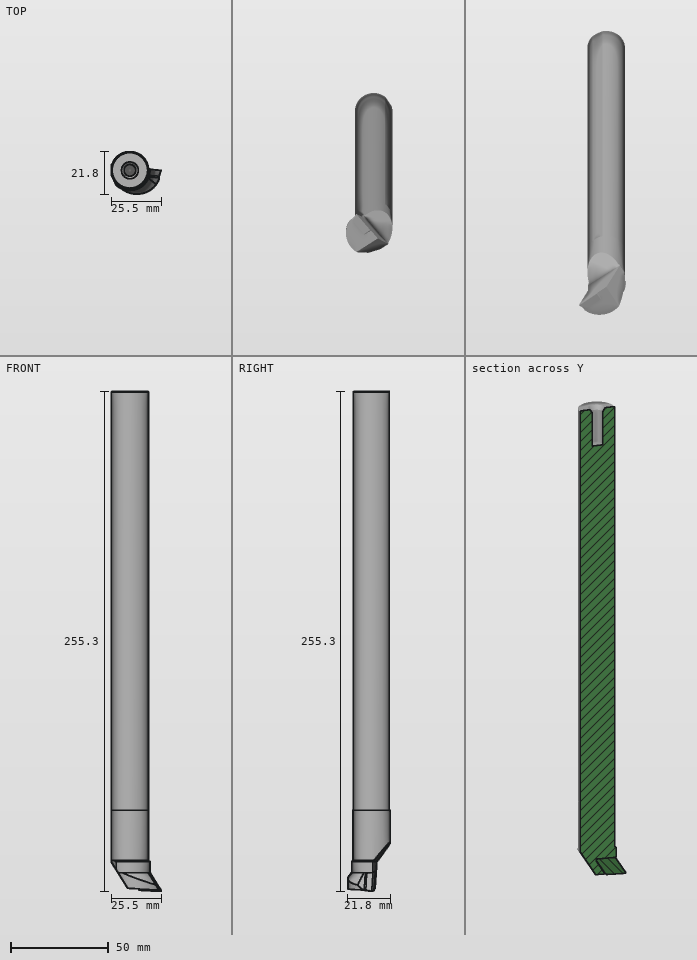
import cadquery as cq
import math


bar_length = 255.25
head_diameter = 19.13
head_length = 41.4
shank_diameter = 19.08
shank_flat_depth = 0.5
shank_top_chamfer = 0.5
head_radius = head_diameter / 2
shank_radius = shank_diameter / 2

inlet_diameter = 6.0
inlet_mouth_diameter = 8.6
inlet_mouth_half_angle = 30.0
inlet_depth = 20.0
inlet_mouth_flare = (inlet_mouth_diameter - inlet_diameter) / 2
inlet_mouth_depth = inlet_mouth_flare / math.tan(math.radians(inlet_mouth_half_angle))

neck_top = 15.9
neck_bottom = 9.65
neck_radius = 10.3
neck_chamfer = neck_radius - head_radius
neck_flat_directions = (180.0, 206.0)

cone_slope = 52.0
nose_x = 3.6
nose_radius = 12.2

rake_angle = 6.0
runout_bottom = 15.2
runout_angle = 52.0

insert_edge = 11.6
insert_thickness = 3.97
insert_corner_radius = 0.4
relief_angle = 7.0
insert_reach = 15.97
tip_angle = 55.0
end_edge_angle = 3.0
side_edge_angle = end_edge_angle + tip_angle

end_setback = 0.7
side_setback = 0.65
back_face_top = 15.1

reach = 60.0


def cylinder(radius, bottom, top, x=0.0):
    """Upright cylinder between two heights."""
    return cq.Workplane("XY", origin=(x, 0, bottom)).circle(radius).extrude(top - bottom)


def leaning(angle, length):
    """X and Z steps of a line that rises toward -X at an angle to the X axis."""
    slope = math.radians(angle)
    return -length * math.cos(slope), length * math.sin(slope)


def sharp_tip():
    """Unrounded corner of the insert, placed so its rounded tip meets Z = 0 and the reach."""
    half_angle = tip_angle / 2
    back_off = insert_corner_radius / math.sin(math.radians(half_angle))
    step_x, step_z = leaning(end_edge_angle + half_angle, back_off)
    return insert_reach - insert_corner_radius - step_x, insert_corner_radius - step_z


tip_x, tip_z = sharp_tip()


def turn_to_rake(shape):
    """Turn a shape built on the plane Y = 0 onto the rake face."""
    return shape.rotate((insert_reach, 0, 0), (insert_reach, 0, 1), -rake_angle)


def make_insert():
    """Plate with its top face on the rake face, narrowing toward -Y."""
    end_x, end_z = leaning(end_edge_angle, insert_edge)
    side_x, side_z = leaning(side_edge_angle, insert_edge)
    corners = [
        (tip_x, tip_z),
        (tip_x + end_x, tip_z + end_z),
        (tip_x + end_x + side_x, tip_z + end_z + side_z),
        (tip_x + side_x, tip_z + side_z),
    ]
    plate = cq.Workplane("XZ").polyline(corners).close()
    plate = plate.extrude(insert_thickness, taper=relief_angle)
    return turn_to_rake(plate.edges("not #Y").fillet(insert_corner_radius))


def clearance_cutter(angle, setback, side):
    """Block beyond an insert edge, set back into the bar.

    The block lies below the edge for side = -1 and above it for side = +1.
    """
    block = cq.Workplane("XY").box(2 * reach, 2 * reach, reach)
    block = block.translate((0, 0, side * (reach / 2 - setback)))
    block = block.rotate((0, 0, 0), (0, 1, 0), angle)
    return block.translate((tip_x, 0, tip_z))


def make_shank():
    shank = cylinder(shank_radius, head_length, bar_length)
    shank = shank.faces(">Z").chamfer(shank_top_chamfer)
    flat = cq.Workplane("XY").box(reach, reach, 2 * bar_length)
    return shank.cut(flat.translate((0, shank_radius - shank_flat_depth + reach / 2, 0)))


def inlet_cutter():
    bore = cylinder(inlet_diameter / 2, bar_length - inlet_depth, bar_length)
    mouth = cq.Solid.makeCone(
        inlet_diameter / 2,
        inlet_mouth_diameter / 2,
        inlet_mouth_depth,
        pnt=cq.Vector(0, 0, bar_length - inlet_mouth_depth),
    )
    return bore.union(cq.Workplane(obj=mouth))


def make_neck():
    neck = cylinder(neck_radius, neck_bottom, neck_top).faces(">Z").chamfer(neck_chamfer)
    flat = cq.Workplane("XY").box(reach, reach, reach).translate((head_radius + reach / 2, 0, 0))
    for angle in neck_flat_directions:
        neck = neck.cut(flat.rotate((0, 0, 0), (0, 0, 1), angle))
    return neck


def make_nose():
    nose = cylinder(nose_radius, 0, neck_bottom, nose_x)
    cone = cq.Solid.makeCone(
        neck_radius + reach / math.tan(math.radians(cone_slope)),
        neck_radius,
        reach,
        pnt=cq.Vector(0, 0, neck_bottom - reach),
    )
    return nose.intersect(cq.Workplane(obj=cone))


def rake_face_cutter():
    """Everything on the +Y side of the rake face and its sloped run-out."""
    rise = reach * math.sin(math.radians(runout_angle))
    run = reach * math.cos(math.radians(runout_angle))
    outline = [
        (0, -reach),
        (0, runout_bottom),
        (run, runout_bottom + rise),
        (run, -reach),
    ]
    cutter = cq.Workplane("YZ").polyline(outline).close().extrude(reach, both=True)
    return turn_to_rake(cutter)


def back_face_cutter():
    """Material under the sloped back face, which runs parallel to the side edge of the insert."""
    down_x, down_z = leaning(side_edge_angle, -reach)
    outline = [
        (-head_radius, back_face_top),
        (-head_radius + down_x, back_face_top + down_z),
        (-head_radius - down_x, back_face_top + down_z),
        (-head_radius - down_x, back_face_top - down_z),
    ]
    return cq.Workplane("XZ").polyline(outline).close().extrude(reach, both=True)


def make_bar(insert):
    nose = make_nose().cut(clearance_cutter(side_edge_angle, side_setback, 1))
    bar = cylinder(head_radius, neck_bottom, head_length)
    bar = bar.union(make_neck()).union(nose)
    bar = bar.cut(clearance_cutter(end_edge_angle, end_setback, -1))
    bar = bar.cut(back_face_cutter()).cut(rake_face_cutter())
    bar = bar.union(make_shank()).cut(inlet_cutter())
    return bar.cut(insert)


insert = make_insert()
bar = make_bar(insert)

result = cq.Compound.makeCompound([bar.val(), insert.val()])